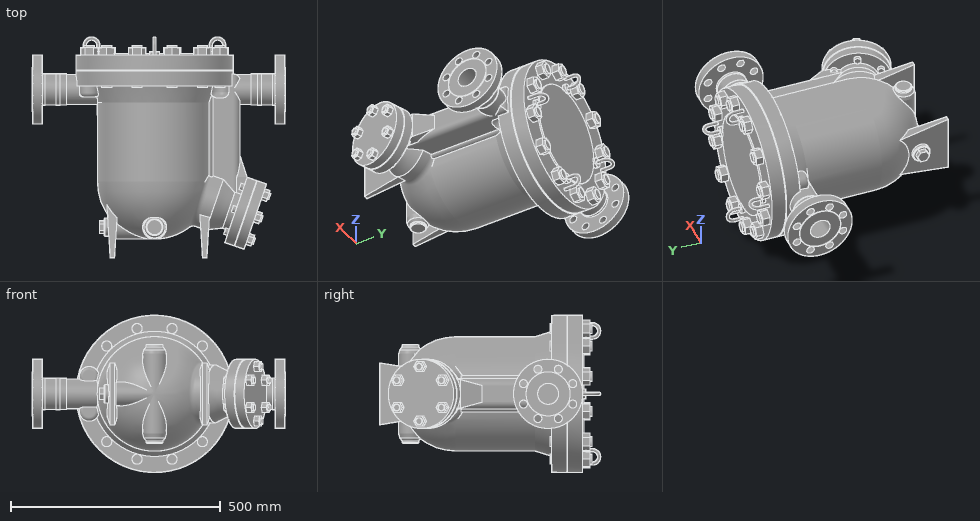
import cadquery as cq
import math


BODY_R = 136.5
SHOULDER_R = 149.0
SHOULDER_END_Y = -31.0
DOME_CENTRE_Y = -220.0
MAIN_FLANGE_R = 375 / 2
FLANGE_BOTTOM_Y = 8.5
FLANGE_T = 36.0
GASKET_T = 1.5
GASKET_INSET = 1.5
GASKET_R = MAIN_FLANGE_R - GASKET_INSET
COVER_BOTTOM_Y = FLANGE_BOTTOM_Y + FLANGE_T + GASKET_T
COVER_TOP_Y = COVER_BOTTOM_Y + FLANGE_T
COVER_DISC_R = 125.0
COVER_DISC_T = 4.0

STUD_COUNT = 12
STUD_R = 24 / 2
STUD_CIRCLE_R = 161.0
STUD_FIRST_ANGLE = 15.0
STUD_LOW_PROJECTION = 3.5
STUD_TOP_PROJECTION = 4.5
NUT_FLATS = 36.0
NUT_T = 18.0
NUT_TURN = 30.0

EYE_CIRCLE_R = 150.0
EYE_OUTER_R = 40 / 2
EYE_WIRE_R = 4.0
EYE_BASE_R = 12.0
EYE_BASE_H = 8.0
EYE_TOP_Y = 125.4
EYE_COUNT = 4

PIPE_MID_X = 10.0
FACE_TO_FACE = 604.0
PIPE_R = 72 / 2
HUB_R = 75 / 2
BORE_R = 50 / 2
PIPE_FLANGE_R = 165 / 2
PIPE_FLANGE_T = 25.0
RAISED_FACE_R = 105 / 2
RAISED_FACE_T = 1.5
PIPE_HOLE_R = 19 / 2
PIPE_HOLE_CIRCLE_R = 127 / 2
PIPE_HOLE_COUNT = 8
HUB_LENGTH = 57.5
HUB_ROOT_LENGTH = 6.0
WELD_R = 38.0
WELD_START = 32.0
WELD_END = 42.0
PIPE_INNER_GAP = 100.0
BORE_DEPTH = 105.0

LUG_R = 23.5
LUG_BOTTOM_Y = -18.0
LUG_ROUND = 9.0
POCKET_R = 22.0
POCKET_BOTTOM_Y = -20.0
POCKET_ROUND = 14.0

DUCT_OUTER_X = 204.0
DUCT_HALF_Z = PIPE_R
DUCT_ROUND = 16.5
DUCT_TOP_Y = 37.0
DUCT_BOTTOM_Y = -250.0
DUCT_BLEND_R = 10.5
DUCT_BLEND_BOTTOM_Y = DOME_CENTRE_Y

NECK_TILT = 19.0
NECK_FACE_DISTANCE = 205.0
COLLAR_R = 69.0
COLLAR_BLEND_R = 15.0
COLLAR_END = 153.0
NECK_R = 52.0
NECK_TAPER_END = 189.0
STRAINER_FLANGE_R = 165 / 2
STRAINER_FLANGE_T = 24.0
STRAINER_GASKET_T = 1.0
STRAINER_GASKET_INSET = 1.0
STRAINER_BOLT_COUNT = 6
STRAINER_BOLT_CIRCLE_R = 65.0
STRAINER_STUD_R = 16 / 2
STRAINER_STUD_BACK = 9.0
STRAINER_STUD_FRONT = 17.0
STRAINER_NUT_FLATS = 24.0
STRAINER_NUT_T = 13.0
GUSSET_TOP_Y = -158.0
GUSSET_TOP_HALF_Z = 20.0
GUSSET_BOTTOM_HALF_Z = 34.0

BOSS_R = 28.5
BOSS_INSET = 0.05
BOSS_CENTRE_Y = DOME_CENTRE_Y - BODY_R + BOSS_R + BOSS_INSET
BOSS_END = 118.0
BOSS_TAPER_START = 95.0
BOSS_TAPER_MID = 105.0
BOSS_TAPER_MID_R = 25.5
BOSS_TAPER_END = 112.0
BOSS_TIP_R = 40 / 2
BOSS_TIP_CHAMFER = 2.0
PLUG_COLLAR_R = 22.0
PLUG_COLLAR_CHAMFER = 2.0
PLUG_COLLAR_END = 120.0
PLUG_END = 131.5
PLUG_FLATS = 27.0

FOOT_BOTTOM_Y = -401.03
FOOT_TOP_Y = -274.0
FOOT_LEFT_X = -100.5
FOOT_RIGHT_X = 119.4
FOOT_BOTTOM_HALF_Z = 74.0
FOOT_TOP_HALF_Z = 53.0
FOOT_BOTTOM_T = 11.0
FOOT_TOP_T = 26.0


def frame(origin, x_dir, normal):
    return cq.Workplane(cq.Plane(origin=origin, xDir=x_dir, normal=normal))


def level(y, x=0.0, z=0.0):
    """Workplane across the main axis, facing +Y, local x along +X and local y along -Z."""
    return frame((x, y, z), (1, 0, 0), (0, 1, 0))


def disc(y_low, y_high, radius, x=0.0, z=0.0):
    return level(y_low, x, z).circle(radius).extrude(y_high - y_low)


def hexagon(workplane, flats, length, turn=0.0):
    """Hexagonal prism; with no turn, two corners lie on the local x axis."""
    across_corners = flats / math.cos(math.pi / 6)
    return workplane.transformed(rotate=(0, 0, turn)).polygon(6, across_corners).extrude(length)


def vessel():
    """Flared shoulder, straight shell and hemispherical bottom."""
    profile = (
        cq.Workplane("XY")
        .moveTo(0, FLANGE_BOTTOM_Y)
        .lineTo(SHOULDER_R, FLANGE_BOTTOM_Y)
        .lineTo(BODY_R, SHOULDER_END_Y)
        .lineTo(BODY_R, DOME_CENTRE_Y)
        .radiusArc((0, DOME_CENTRE_Y - BODY_R), BODY_R)
        .close()
    )
    return profile.revolve(360, (0, 0, 0), (0, 1, 0))


def main_flanges():
    flange_top = FLANGE_BOTTOM_Y + FLANGE_T
    stack = disc(FLANGE_BOTTOM_Y, flange_top, MAIN_FLANGE_R)
    stack = stack.union(disc(flange_top, COVER_BOTTOM_Y, GASKET_R))
    stack = stack.union(disc(COVER_BOTTOM_Y, COVER_TOP_Y, MAIN_FLANGE_R))
    return stack.union(disc(COVER_TOP_Y, COVER_TOP_Y + COVER_DISC_T, COVER_DISC_R))


def main_bolts(part):
    low = FLANGE_BOTTOM_Y - STUD_LOW_PROJECTION
    high = COVER_TOP_Y + NUT_T + STUD_TOP_PROJECTION
    for i in range(STUD_COUNT):
        angle = math.radians(STUD_FIRST_ANGLE) + 2 * math.pi * i / STUD_COUNT
        x = STUD_CIRCLE_R * math.cos(angle)
        z = STUD_CIRCLE_R * math.sin(angle)
        nut = hexagon(level(COVER_TOP_Y, x, z), NUT_FLATS, NUT_T, NUT_TURN * ((i + 1) % 2))
        part = part.union(disc(low, high, STUD_R, x, z)).union(nut)
    return part


def lifting_eye():
    """One eye on the +X side: a half ring on two straight legs with a low round base."""
    ring_r = EYE_OUTER_R - EYE_WIRE_R
    centre_y = EYE_TOP_Y - EYE_OUTER_R
    path = (
        cq.Workplane("XY")
        .moveTo(EYE_CIRCLE_R - ring_r, COVER_TOP_Y)
        .lineTo(EYE_CIRCLE_R - ring_r, centre_y)
        .radiusArc((EYE_CIRCLE_R + ring_r, centre_y), ring_r)
        .lineTo(EYE_CIRCLE_R + ring_r, COVER_TOP_Y)
    )
    eye = level(COVER_TOP_Y, EYE_CIRCLE_R - ring_r).circle(EYE_WIRE_R).sweep(path)
    base = disc(COVER_TOP_Y, COVER_TOP_Y + EYE_BASE_H, EYE_BASE_R, EYE_CIRCLE_R - ring_r)
    return eye.union(base)


def pipe_end(side):
    """Pipe, hub and flange pointing to -X (side = -1) or +X (side = 1)."""
    tip = PIPE_MID_X + side * FACE_TO_FACE / 2

    def section(radius, start, end):
        return frame((tip - side * start, 0, 0), (0, 1, 0), (-side, 0, 0)).circle(radius).extrude(end - start)

    pipe = section(PIPE_R, 0, abs(tip) - PIPE_INNER_GAP)
    hub = section(HUB_R, 0, PIPE_FLANGE_T + HUB_LENGTH)
    weld = section(WELD_R, PIPE_FLANGE_T + WELD_START, PIPE_FLANGE_T + WELD_END)
    root = section(WELD_R, 0, PIPE_FLANGE_T + HUB_ROOT_LENGTH)
    face = section(RAISED_FACE_R, 0, PIPE_FLANGE_T)
    flange = section(PIPE_FLANGE_R, RAISED_FACE_T, PIPE_FLANGE_T)
    holes = (
        frame((tip, 0, 0), (0, 1, 0), (-side, 0, 0))
        .polarArray(PIPE_HOLE_CIRCLE_R, 180 / PIPE_HOLE_COUNT, 360, PIPE_HOLE_COUNT)
        .circle(PIPE_HOLE_R)
        .extrude(PIPE_FLANGE_T)
    )
    solid = pipe.union(hub).union(weld).union(root).union(face).union(flange.cut(holes))
    return solid, section(BORE_R, 0, BORE_DEPTH)


def rounded_pin(radius, bottom_y, edge_round, x, z):
    return disc(bottom_y, FLANGE_BOTTOM_Y, radius, x, z).faces("<Y").edges().fillet(edge_round)


def beside_pipe(side):
    """Stud centres nearest to the pipe on one side."""
    angle = math.radians(STUD_FIRST_ANGLE)
    x = side * STUD_CIRCLE_R * math.cos(angle)
    z = STUD_CIRCLE_R * math.sin(angle)
    return [(x, z), (x, -z)]


def side_duct():
    duct = cq.Workplane("XY").box(
        DUCT_OUTER_X, DUCT_TOP_Y - DUCT_BOTTOM_Y, 2 * DUCT_HALF_Z, centered=(False, False, True)
    )
    duct = duct.translate((0, DUCT_BOTTOM_Y, 0))
    return duct.edges(">X").edges("|Y or >Y").fillet(DUCT_ROUND)


def duct_blend():
    """Concave rounding between the +Z face of the duct and the cylindrical body."""
    centre_z = DUCT_HALF_Z + DUCT_BLEND_R
    centre_x = math.sqrt((BODY_R + DUCT_BLEND_R) ** 2 - centre_z**2)
    on_body = BODY_R / (BODY_R + DUCT_BLEND_R)
    blend = (
        level(DUCT_BLEND_BOTTOM_Y)
        .moveTo(0, -DUCT_HALF_Z)
        .lineTo(centre_x, -DUCT_HALF_Z)
        .radiusArc((centre_x * on_body, -centre_z * on_body), DUCT_BLEND_R)
        .close()
    )
    return blend.extrude(FLANGE_BOTTOM_Y - DUCT_BLEND_BOTTOM_Y)


def along_neck(distance):
    """Workplane across the tilted neck axis, local y along Z, at a distance from the flange back."""
    tilt = math.radians(NECK_TILT)
    ax, ay = math.cos(tilt), -math.sin(tilt)
    from_dome = NECK_FACE_DISTANCE + distance
    return frame((from_dome * ax, DOME_CENTRE_Y + from_dome * ay, 0), (ay, -ax, 0), (ax, ay, 0))


def neck_body():
    """Turned neck: blended out of the dome, straight collar, taper and short spigot."""
    blend_axial = math.sqrt((BODY_R + COLLAR_BLEND_R) ** 2 - (COLLAR_R + COLLAR_BLEND_R) ** 2)
    on_dome = BODY_R / (BODY_R + COLLAR_BLEND_R)
    root_r = (COLLAR_R + COLLAR_BLEND_R) * on_dome
    profile = (
        cq.Workplane("XY", origin=(0, DOME_CENTRE_Y, 0))
        .transformed(rotate=(0, 0, -NECK_TILT))
        .lineTo(blend_axial * on_dome, root_r)
        .radiusArc((blend_axial, COLLAR_R), -COLLAR_BLEND_R)
        .lineTo(COLLAR_END, COLLAR_R)
        .lineTo(NECK_TAPER_END, NECK_R)
        .lineTo(NECK_FACE_DISTANCE, NECK_R)
        .lineTo(NECK_FACE_DISTANCE, 0)
        .close()
    )
    return profile.revolve(360, (0, 0, 0), (1, 0, 0))


def strainer_neck():
    cover_start = STRAINER_FLANGE_T + STRAINER_GASKET_T
    cover_end = cover_start + STRAINER_FLANGE_T
    flange = along_neck(0).circle(STRAINER_FLANGE_R).extrude(STRAINER_FLANGE_T)
    gasket = along_neck(0).circle(STRAINER_FLANGE_R - STRAINER_GASKET_INSET).extrude(cover_start)
    cover = along_neck(cover_start).circle(STRAINER_FLANGE_R).extrude(STRAINER_FLANGE_T)
    part = neck_body().union(flange).union(gasket).union(cover)
    for i in range(STRAINER_BOLT_COUNT):
        angle = math.pi / 2 + 2 * math.pi * i / STRAINER_BOLT_COUNT
        u = STRAINER_BOLT_CIRCLE_R * math.cos(angle)
        v = STRAINER_BOLT_CIRCLE_R * math.sin(angle)
        stud = along_neck(-STRAINER_STUD_BACK).center(u, v).circle(STRAINER_STUD_R)
        part = part.union(stud.extrude(STRAINER_STUD_BACK + cover_end + STRAINER_STUD_FRONT))
        part = part.union(hexagon(along_neck(cover_end).center(u, v), STRAINER_NUT_FLATS, STRAINER_NUT_T))
    return part


def gusset():
    """Rib from the duct to the neck flange, wider along Z towards the flange."""
    tilt = math.radians(NECK_TILT)
    face_x = NECK_FACE_DISTANCE * math.cos(tilt)
    face_y = DOME_CENTRE_Y - NECK_FACE_DISTANCE * math.sin(tilt)
    rim_x = face_x + STRAINER_FLANGE_R * math.sin(tilt)
    rim_y = face_y + STRAINER_FLANGE_R * math.cos(tilt)
    outline = [
        (DUCT_OUTER_X, GUSSET_TOP_Y),
        (rim_x, rim_y),
        (face_x, face_y),
        (BODY_R, DUCT_BOTTOM_Y),
        (BODY_R, GUSSET_TOP_Y),
    ]
    plate = cq.Workplane("XY").polyline(outline).close().extrude(GUSSET_BOTTOM_HALF_Z, both=True)
    taper = [
        (GUSSET_TOP_Y, GUSSET_TOP_HALF_Z),
        (rim_y, GUSSET_BOTTOM_HALF_Z),
        (face_y, GUSSET_BOTTOM_HALF_Z),
        (face_y, -GUSSET_BOTTOM_HALF_Z),
        (rim_y, -GUSSET_BOTTOM_HALF_Z),
        (GUSSET_TOP_Y, -GUSSET_TOP_HALF_Z),
    ]
    return plate.intersect(cq.Workplane("YZ").polyline(taper).close().extrude(rim_x))


def drain_boss():
    """Boss along +Z with a tapered end."""
    outline = [
        (0, 0),
        (BOSS_R, 0),
        (BOSS_R, BOSS_TAPER_START),
        (BOSS_TAPER_MID_R, BOSS_TAPER_MID),
        (BOSS_TIP_R, BOSS_TAPER_END),
        (BOSS_TIP_R, BOSS_END - BOSS_TIP_CHAMFER),
        (BOSS_TIP_R - BOSS_TIP_CHAMFER, BOSS_END),
        (0, BOSS_END),
    ]
    boss = cq.Workplane("XZ").polyline(outline).close().revolve(360, (0, 0, 0), (0, 1, 0))
    return boss.translate((0, BOSS_CENTRE_Y, 0))


def side_boss():
    """Boss along -X closed by a hexagon-headed plug."""

    def plane():
        return frame((0, BOSS_CENTRE_Y, 0), (0, 1, 0), (-1, 0, 0))

    boss = plane().circle(BOSS_R).extrude(-FOOT_LEFT_X)
    collar = plane().circle(PLUG_COLLAR_R).extrude(PLUG_COLLAR_END)
    collar = collar.faces("<X").chamfer(PLUG_COLLAR_CHAMFER)
    return boss.union(collar).union(hexagon(plane(), PLUG_FLATS, PLUG_END))


def foot(x):
    """Flat foot that widens along Z and thins along X towards the bottom."""
    return (
        level(FOOT_BOTTOM_Y, x)
        .rect(FOOT_BOTTOM_T, 2 * FOOT_BOTTOM_HALF_Z)
        .workplane(offset=FOOT_TOP_Y - FOOT_BOTTOM_Y)
        .rect(FOOT_TOP_T, 2 * FOOT_TOP_HALF_Z)
        .loft(ruled=True)
    )


def build():
    part = vessel().union(drain_boss()).union(drain_boss().mirror("XY")).union(side_boss())
    part = part.union(side_duct()).union(duct_blend()).union(duct_blend().mirror("XY"))
    part = part.union(strainer_neck()).union(gusset())
    part = part.union(foot(FOOT_LEFT_X)).union(foot(FOOT_RIGHT_X))
    bores = []
    for side in (-1, 1):
        pipe, bore = pipe_end(side)
        part = part.union(pipe)
        bores.append(bore)
    for x, z in beside_pipe(-1):
        part = part.union(rounded_pin(LUG_R, LUG_BOTTOM_Y, LUG_ROUND, x, z))
    for x, z in beside_pipe(1):
        part = part.cut(rounded_pin(POCKET_R, POCKET_BOTTOM_Y, POCKET_ROUND, x, z))
    part = main_bolts(part.union(main_flanges()))
    for i in range(EYE_COUNT):
        part = part.union(lifting_eye().rotate((0, 0, 0), (0, 1, 0), 360 / EYE_COUNT * i))
    for bore in bores:
        part = part.cut(bore)
    return part


result = build()